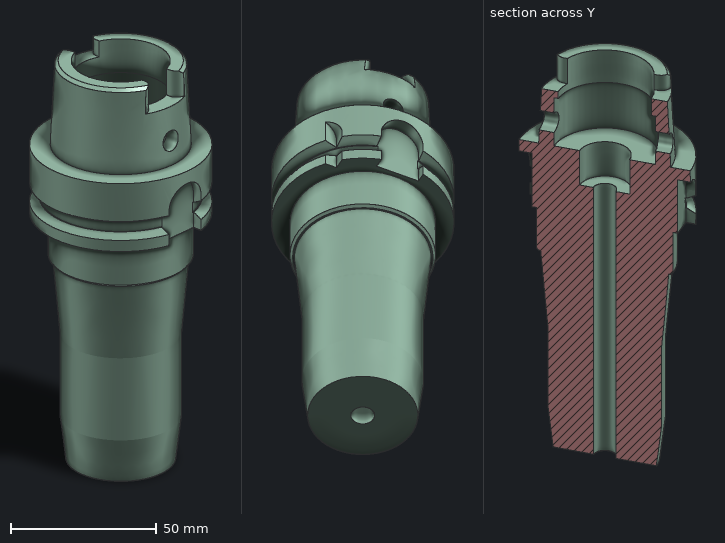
import cadquery as cq

total_height = 152.0
flange_top = 120.1
flange_bottom = 94.1
groove_top = 103.8
groove_bottom = 100.0
groove_bevel = 1.7
body_bottom = 77.2
body_chamfer = 0.9
neck_bottom = 48.0
nose_top = 16.5

shank_base_radius = 24.3
shank_top_radius = 22.8
rim_chamfer = 1.2
flange_radius = 31.5
groove_radius = 27.8
body_radius = 25.1
neck_top_radius = 23.5
grip_radius = 21.0
nose_radius = 19.0

mouth_radius = 17.0
chamber_radius = 18.5
chamber_top = total_height - 12.9
chamber_bottom = 120.1
seat_radius = 9.1
seat_bottom = 106.4
coolant_radius = 4.1

rim_slot_width = 12.2
rim_slot_round = 3.6
rim_slot_flare_end = 20.8
left_slot_depth = 6.1
right_slot_depth = 10.0

cross_hole_radius = 3.8
cross_hole_height = 129.2

key_width = 16.1
key_center_height = 107.3
key_floor = 26.8
side_notch_floor = 19.9
side_notch_edge = 20.0


def revolve_profile(points):
    """Turn a closed (radius, height) outline about Z."""
    return cq.Workplane("XZ").polyline(points).close().revolve(360, (0, 0), (0, 1))


def holder_blank():
    return revolve_profile([
        (0, 0),
        (nose_radius, 0),
        (grip_radius, nose_top),
        (grip_radius, neck_bottom),
        (neck_top_radius, body_bottom),
        (body_radius - body_chamfer, body_bottom),
        (body_radius, body_bottom + body_chamfer),
        (body_radius, flange_bottom),
        (flange_radius, flange_bottom),
        (flange_radius, groove_bottom - groove_bevel),
        (flange_radius - 2 * groove_bevel, groove_bottom),
        (groove_radius, groove_bottom),
        (groove_radius, groove_top),
        (flange_radius - 2 * groove_bevel, groove_top),
        (flange_radius, groove_top + groove_bevel),
        (flange_radius, flange_top),
        (shank_base_radius, flange_top),
        (shank_top_radius, total_height - rim_chamfer),
        (shank_top_radius - rim_chamfer, total_height),
        (0, total_height),
    ])


def axial_bores():
    return revolve_profile([
        (0, 0),
        (coolant_radius, 0),
        (coolant_radius, seat_bottom),
        (seat_radius, seat_bottom),
        (seat_radius, chamber_bottom),
        (chamber_radius, chamber_bottom),
        (chamber_radius, chamber_top),
        (mouth_radius, chamber_top),
        (mouth_radius, total_height),
        (0, total_height),
    ])


def rim_slot(side, depth):
    """Slot in the rim on the +X (side=1) or -X (side=-1) wall, flaring outward."""
    half_width = rim_slot_width / 2
    flare_end = rim_slot_flare_end
    flare_start = flare_end - rim_slot_round
    flare_half_width = half_width + rim_slot_round
    diagonal = rim_slot_round * 0.5 ** 0.5
    outer = flange_radius
    return (
        cq.Workplane("XY", origin=(0, 0, total_height - depth))
        .moveTo(0, -half_width)
        .lineTo(side * flare_start, -half_width)
        .threePointArc(
            (side * (flare_start + diagonal), -flare_half_width + diagonal),
            (side * flare_end, -flare_half_width),
        )
        .lineTo(side * outer, -flare_half_width)
        .lineTo(side * outer, flare_half_width)
        .lineTo(side * flare_end, flare_half_width)
        .threePointArc(
            (side * (flare_start + diagonal), flare_half_width - diagonal),
            (side * flare_start, half_width),
        )
        .lineTo(0, half_width)
        .close()
        .extrude(depth)
    )


def flange_slot(side, floor, center_y):
    """Arched slot, open at the flange underside, cut from side * X down to the floor."""
    radius = key_width / 2
    return (
        cq.Workplane("YZ", origin=(side * floor, 0, 0))
        .moveTo(center_y - radius, flange_bottom)
        .lineTo(center_y - radius, key_center_height)
        .threePointArc(
            (center_y, key_center_height + radius),
            (center_y + radius, key_center_height),
        )
        .lineTo(center_y + radius, flange_bottom)
        .close()
        .extrude(side * (flange_radius - floor))
    )


cross_hole = (
    cq.Workplane("YZ")
    .center(0, cross_hole_height)
    .circle(cross_hole_radius)
    .extrude(flange_radius, both=True)
)

result = holder_blank().cut(axial_bores()).cut(cross_hole)
result = result.cut(rim_slot(-1, left_slot_depth))
result = result.cut(rim_slot(1, right_slot_depth))
for side in (-1, 1):
    result = result.cut(flange_slot(side, key_floor, 0))
result = result.cut(flange_slot(-1, side_notch_floor, side_notch_edge + key_width / 2))